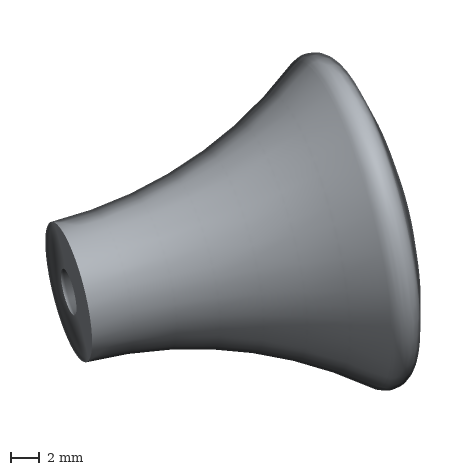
import cadquery as cq
import math

LENGTH = 24.05
HEAD_RADIUS = 12.0
BASE_RADIUS = 5.0
RIM_RADIUS = 1.5
RIM_HEIGHT = 20.51
HOLE_DIAMETER = 3.32
HOLE_DEPTH = 12.02
DRILL_POINT_ANGLE = 118.0

rim_center = HEAD_RADIUS - RIM_RADIUS
rim_drop = LENGTH - RIM_HEIGHT

dome_radius = (rim_center**2 + rim_drop**2 - RIM_RADIUS**2) / (2 * (rim_drop - RIM_RADIUS))
dome_center_height = LENGTH - dome_radius
dome_end_angle = math.atan2(RIM_HEIGHT - dome_center_height, rim_center)

rim_offset = rim_center - BASE_RADIUS
flare_radius = (rim_offset**2 + RIM_HEIGHT**2 - RIM_RADIUS**2) / (2 * (rim_offset + RIM_RADIUS))
flare_center = BASE_RADIUS + flare_radius
flare_end_angle = math.atan2(RIM_HEIGHT, flare_center - rim_center)


def polar(center_x, center_y, radius, angle):
    """Point on a circle at an angle in radians from +X."""
    return (center_x + radius * math.cos(angle), center_y + radius * math.sin(angle))


def make_body():
    """Revolve the tangent flare, rim and dome arcs about the axis."""
    flare_middle = polar(flare_center, 0, flare_radius, math.pi - flare_end_angle / 2)
    flare_end = polar(flare_center, 0, flare_radius, math.pi - flare_end_angle)
    rim_widest = (HEAD_RADIUS, RIM_HEIGHT)
    rim_end = polar(rim_center, RIM_HEIGHT, RIM_RADIUS, dome_end_angle)
    dome_middle = polar(0, dome_center_height, dome_radius, (dome_end_angle + math.pi / 2) / 2)
    return (
        cq.Workplane("XY")
        .lineTo(BASE_RADIUS, 0)
        .threePointArc(flare_middle, flare_end)
        .threePointArc(rim_widest, rim_end)
        .threePointArc(dome_middle, (0, LENGTH))
        .close()
        .revolve(360, (0, 0), (0, 1))
    )


def make_hole():
    """Blind drilled hole with a conical bottom."""
    hole_radius = HOLE_DIAMETER / 2
    point_length = hole_radius / math.tan(math.radians(DRILL_POINT_ANGLE / 2))
    return (
        cq.Workplane("XY")
        .lineTo(hole_radius, 0)
        .lineTo(hole_radius, HOLE_DEPTH)
        .lineTo(0, HOLE_DEPTH + point_length)
        .close()
        .revolve(360, (0, 0), (0, 1))
    )


result = make_body().cut(make_hole())